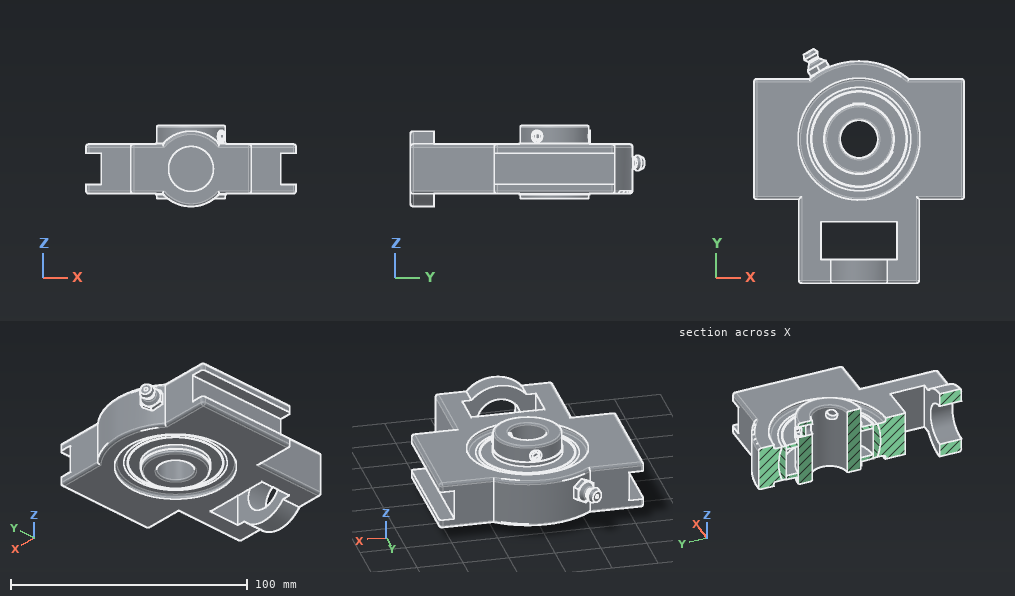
import cadquery as cq
import math


WING_SPAN = 89.0
WING_LENGTH = 51.0
STEM_WIDTH = 51.0
STEM_END = 61.0
PLATE_THICKNESS = 21.0
CROWN_RADIUS = 33.0
EDGE_FILLET = 1.3

SLOT_WIDTH = 13.1
SLOT_DEPTH = 6.4

WINDOW_WIDTH = 32.0
WINDOW_LENGTH = 15.9
BOSS_DIAMETER = 31.9
BOSS_LENGTH = 10.1
BOSS_HOLE_DIAMETER = 19.0

RECESS_DIAMETER = 51.6
RECESS_FILLET = 0.9
OUTER_RING_WIDTH = 17.1
SEAT_SPHERE_RADIUS = 23.5
OUTER_RING_BORE = 40.0

INNER_RING_DIAMETER = 29.2
INNER_RING_BORE = 15.9
INNER_RING_TOP = 18.35
INNER_RING_BOTTOM = -12.7
INNER_RING_FILLET = 0.8

SEAL_FLANGE_DIAMETER = 40.8
SEAL_FLANGE_THICKNESS = 0.2
SEAL_PLUG_DEPTH = 2.0
SEAL_COLLAR_DIAMETER = 29.8
SEAL_COLLAR_TOP = 10.9
SEAL_CONE_RISE = 0.2

SCREW_DIAMETER = 5.0
SCREW_HEIGHT = 13.8
SCREW_OUTER_END = 15.1
SCREW_INNER_END = 10.9
SCREW_ANGLES = (90, -30)
SOCKET_FLATS = 3.0
SOCKET_DEPTH = 2.0

FITTING_ANGLE = 120
FITTING_HEIGHT = 2.5
FITTING_SEAT = 33.1
HEX_FLATS = 8.9
HEX_HEIGHT = 2.7
STUD_DIAMETER = 6.0
STUD_LENGTH = 5.0
CONE_BASE_RADIUS = 4.4
CONE_TOP_RADIUS = 3.0
CONE_TOP = 4.4
NECK_RADIUS = 2.4
NECK_BOTTOM = 5.1
NECK_TOP = 5.9
HEAD_RADIUS = 3.4
HEAD_WIDEST = 7.4
TIP_RADIUS = 2.5
TIP_END = 9.5
GREASE_HOLE_DIAMETER = 1.5
GREASE_HOLE_DEPTH = 2.0

HALF_PLATE = PLATE_THICKNESS / 2
HALF_RING = OUTER_RING_WIDTH / 2
HALF_WING = WING_LENGTH / 2
HALF_SPAN = WING_SPAN / 2
BOSS_BACK = STEM_END - BOSS_LENGTH
BOSS_HALF_CHORD = math.sqrt((BOSS_DIAMETER / 2) ** 2 - HALF_PLATE ** 2)


def cylinder_z(diameter, bottom, top):
    return cq.Workplane("XY").workplane(offset=bottom).circle(diameter / 2).extrude(top - bottom)


def radial_plane(angle, distance, height):
    """Plane facing away from the bearing axis, its local Y pointing up."""
    direction = math.radians(angle)
    outward = (math.cos(direction), math.sin(direction), 0)
    sideways = (-math.sin(direction), math.cos(direction), 0)
    origin = (distance * outward[0], distance * outward[1], height)
    return cq.Plane(origin=origin, xDir=sideways, normal=outward)


def radial_rod(diameter, angle, inner_end, outer_end, height):
    plane = radial_plane(angle, inner_end, height)
    return cq.Workplane(plane).circle(diameter / 2).extrude(outer_end - inner_end)


def hexagon_across_corners(flats):
    return flats / math.cos(math.pi / 6)


def is_rounded(edge):
    """True for the plate's outer edges and convex corners, and for the boss's front rim."""
    middle = edge.positionAt(0.5)
    tolerance = 0.01
    on_front = abs(middle.y + STEM_END) < tolerance
    if edge.geomType() == "LINE" and abs(edge.tangentAt(0.5).z) > 1 - tolerance:
        wing_corner = abs(abs(middle.x) - HALF_SPAN) < tolerance
        return wing_corner or on_front
    on_plate_face = abs(abs(middle.z) - HALF_PLATE) < tolerance
    on_boss = abs(middle.x) < BOSS_HALF_CHORD + tolerance and middle.y < -HALF_WING
    return on_front or (on_plate_face and not on_boss)


def make_housing():
    wings = cq.Workplane("XY").rect(WING_SPAN, WING_LENGTH).extrude(HALF_PLATE, both=True)
    crown = cylinder_z(2 * CROWN_RADIUS, -HALF_PLATE, HALF_PLATE)
    stem = (
        cq.Workplane("XY")
        .center(0, -STEM_END / 2)
        .rect(STEM_WIDTH, STEM_END)
        .extrude(HALF_PLATE, both=True)
    )
    boss = (
        cq.Workplane("XZ", origin=(0, -BOSS_BACK, 0))
        .circle(BOSS_DIAMETER / 2)
        .extrude(BOSS_LENGTH)
    )
    body = wings.union(crown).union(stem).union(boss).clean()
    rounded = [edge for edge in body.edges().vals() if is_rounded(edge)]
    body = body.newObject(rounded).fillet(EDGE_FILLET)

    slots = (
        cq.Workplane("XY")
        .pushPoints([(-HALF_SPAN, 0), (HALF_SPAN, 0)])
        .rect(2 * SLOT_DEPTH, WING_LENGTH)
        .extrude(SLOT_WIDTH / 2, both=True)
    )
    window = (
        cq.Workplane("XY")
        .center(0, -BOSS_BACK + WINDOW_LENGTH / 2)
        .rect(WINDOW_WIDTH, WINDOW_LENGTH)
        .extrude(BOSS_DIAMETER / 2, both=True)
    )
    boss_hole = (
        cq.Workplane("XZ", origin=(0, -BOSS_BACK, 0))
        .circle(BOSS_HOLE_DIAMETER / 2)
        .extrude(BOSS_LENGTH)
    )
    body = body.cut(slots).cut(window).cut(boss_hole)

    for side in (1, -1):
        recess = cylinder_z(RECESS_DIAMETER, side * HALF_RING, side * HALF_PLATE)
        floor_edge = ">Z" if side < 0 else "<Z"
        body = body.cut(recess.edges(floor_edge).fillet(RECESS_FILLET))

    stud_hole = radial_rod(
        STUD_DIAMETER, FITTING_ANGLE, FITTING_SEAT - STUD_LENGTH, FITTING_SEAT, FITTING_HEIGHT
    )
    return body.cut(ring_blank()).cut(stud_hole)


def ring_blank():
    """Sphere cut to the outer ring's width; it shapes both the ring and its seat."""
    slab = cylinder_z(RECESS_DIAMETER, -HALF_RING, HALF_RING)
    return cq.Workplane("XY").sphere(SEAT_SPHERE_RADIUS).intersect(slab)


def make_outer_ring():
    return ring_blank().cut(cylinder_z(OUTER_RING_BORE, -HALF_RING, HALF_RING))


def make_inner_ring():
    ring = (
        cylinder_z(INNER_RING_DIAMETER, INNER_RING_BOTTOM, INNER_RING_TOP)
        .cut(cylinder_z(INNER_RING_BORE, INNER_RING_BOTTOM, INNER_RING_TOP))
        .faces("<Z or >Z")
        .edges()
        .fillet(INNER_RING_FILLET)
    )
    for angle in SCREW_ANGLES:
        ring = ring.cut(radial_rod(SCREW_DIAMETER, angle, 0, INNER_RING_DIAMETER, SCREW_HEIGHT))
    return ring


def make_seal(side):
    """Seal with a collar around the inner ring; side is 1 for the top and -1 for the bottom."""
    inner = INNER_RING_DIAMETER / 2
    collar = SEAL_COLLAR_DIAMETER / 2
    flange = SEAL_FLANGE_DIAMETER / 2
    plug = OUTER_RING_BORE / 2
    flange_top = HALF_RING + SEAL_FLANGE_THICKNESS
    profile = [
        (inner, HALF_RING - SEAL_PLUG_DEPTH),
        (plug, HALF_RING - SEAL_PLUG_DEPTH),
        (plug, HALF_RING),
        (flange, HALF_RING),
        (flange, flange_top),
        (collar, flange_top + SEAL_CONE_RISE),
        (collar, SEAL_COLLAR_TOP),
        (inner, SEAL_COLLAR_TOP),
    ]
    points = [(radius, side * height) for radius, height in profile]
    return cq.Workplane("XZ").polyline(points).close().revolve(360, (0, 0, 0), (0, 1, 0))


def make_set_screw(angle):
    screw = radial_rod(SCREW_DIAMETER, angle, SCREW_INNER_END, SCREW_OUTER_END, SCREW_HEIGHT)
    socket = (
        cq.Workplane(radial_plane(angle, SCREW_OUTER_END, SCREW_HEIGHT))
        .transformed(rotate=(0, 0, 90))
        .polygon(6, hexagon_across_corners(SOCKET_FLATS))
        .extrude(-SOCKET_DEPTH)
    )
    return screw.cut(socket)


def make_grease_fitting():
    seat = radial_plane(FITTING_ANGLE, FITTING_SEAT, FITTING_HEIGHT)
    hexagon = (
        cq.Workplane(seat)
        .transformed(rotate=(0, 0, 90))
        .polygon(6, hexagon_across_corners(HEX_FLATS))
        .extrude(HEX_HEIGHT)
    )
    profile = [
        (0, -STUD_LENGTH),
        (STUD_DIAMETER / 2, -STUD_LENGTH),
        (STUD_DIAMETER / 2, HEX_HEIGHT),
        (CONE_BASE_RADIUS, HEX_HEIGHT),
        (CONE_TOP_RADIUS, CONE_TOP),
        (NECK_RADIUS, NECK_BOTTOM),
        (NECK_RADIUS, NECK_TOP),
        (HEAD_RADIUS, HEAD_WIDEST),
        (TIP_RADIUS, TIP_END),
        (0, TIP_END),
    ]
    section = cq.Plane(origin=seat.origin, xDir=seat.xDir, normal=seat.xDir.cross(seat.zDir))
    turned = cq.Workplane(section).polyline(profile).close().revolve(360, (0, 0, 0), (0, 1, 0))
    grease_hole = radial_rod(
        GREASE_HOLE_DIAMETER,
        FITTING_ANGLE,
        FITTING_SEAT + TIP_END - GREASE_HOLE_DEPTH,
        FITTING_SEAT + TIP_END,
        FITTING_HEIGHT,
    )
    return hexagon.union(turned).cut(grease_hole)


housing = make_housing()
outer_ring = make_outer_ring()
inner_ring = make_inner_ring()
seals = [make_seal(side) for side in (1, -1)]
set_screws = [make_set_screw(angle) for angle in SCREW_ANGLES]
grease_fitting = make_grease_fitting()

result = cq.Compound.makeCompound([
    housing.val(),
    outer_ring.val(),
    inner_ring.val(),
    *[seal.val() for seal in seals],
    *[screw.val() for screw in set_screws],
    grease_fitting.val(),
])